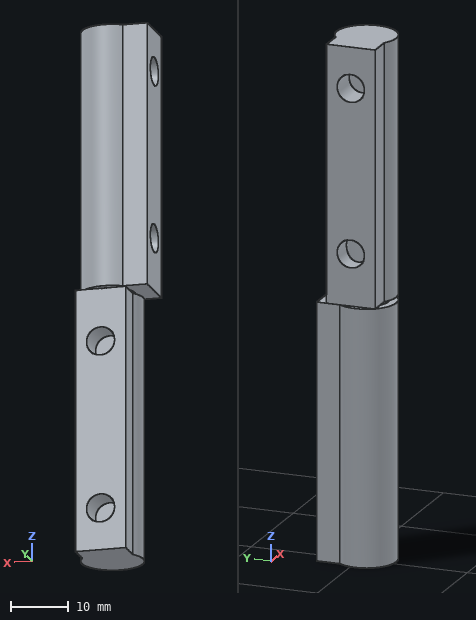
import cadquery as cq

total_height = 95.0
leaf_gap = 1.0
leaf_height = (total_height - leaf_gap) / 2

barrel_diameter = 11.0
block_width = 9.0
overall_width = 13.0
block_reach = overall_width - barrel_diameter / 2

pin_diameter = 8.0
pin_engagement = 23.75
pin_length = leaf_gap + pin_engagement

hole_diameter = 5.0
hole_depth = 5.7
hole_spacing = 30.0
hole_end_distance = 7.5
hole_heights = [
    leaf_height - hole_end_distance,
    leaf_height - hole_end_distance - hole_spacing,
]


def make_leaf():
    """Leaf standing on Z = 0, block towards -X, outer end at the top."""
    barrel = cq.Workplane("XY").circle(barrel_diameter / 2).extrude(leaf_height)
    block = cq.Workplane("XY").box(
        block_reach, block_width, leaf_height, centered=(False, True, False)
    ).translate((-block_reach, 0, 0))
    holes = (
        cq.Workplane("YZ", origin=(-block_reach, 0, 0))
        .pushPoints([(0, height) for height in hole_heights])
        .circle(hole_diameter / 2)
        .extrude(hole_depth)
    )
    return barrel.union(block).cut(holes)


def make_pin():
    """Pin starting at the top of the lower leaf."""
    return (
        cq.Workplane("XY", origin=(0, 0, leaf_height))
        .circle(pin_diameter / 2)
        .extrude(pin_length)
    )


def make_upper_leaf():
    """Leaf with its block towards -X and a blind bore that receives the pin."""
    return make_leaf().translate((0, 0, leaf_height + leaf_gap)).cut(make_pin())


def make_lower_leaf():
    """Leaf turned end for end, block towards +Y, with its integral pin."""
    leaf = (
        make_leaf()
        .rotate((0, 0, 0), (1, 0, 0), 180)
        .rotate((0, 0, 0), (0, 0, 1), -90)
        .translate((0, 0, leaf_height))
    )
    return leaf.union(make_pin())


upper_leaf = make_upper_leaf()
lower_leaf = make_lower_leaf()

result = cq.Compound.makeCompound([upper_leaf.val(), lower_leaf.val()])